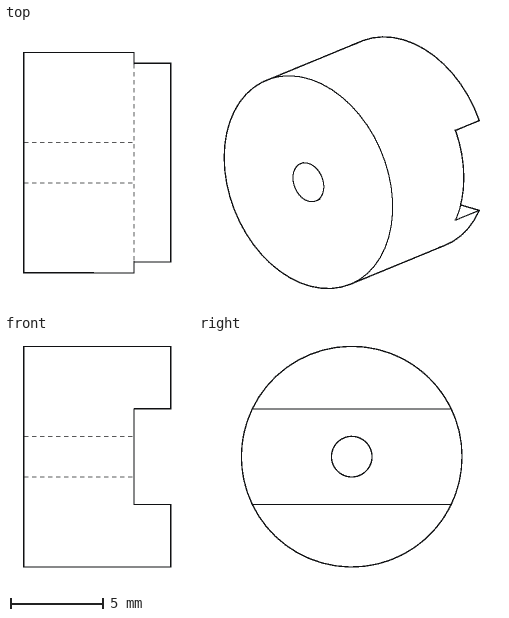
import cadquery as cq

outer_diameter = 12.0
length = 8.0
bore_diameter = 2.2
slot_depth = 2.0
slot_height = 5.2

body = (
    cq.Workplane("YZ")
    .circle(outer_diameter / 2)
    .circle(bore_diameter / 2)
    .extrude(length)
)

slot = (
    cq.Workplane("XY")
    .box(slot_depth, outer_diameter, slot_height)
    .translate((length - slot_depth / 2, 0, 0))
)

result = body.cut(slot)